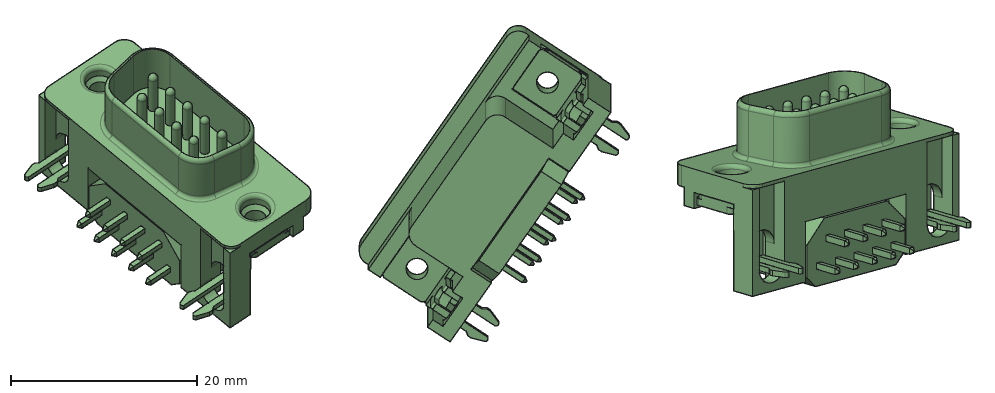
import cadquery as cq
import math


LENGTH = 30.8
DEPTH = 12.5
FRONT_Y = -DEPTH / 2
BACK_Y = DEPTH / 2
SHEET_THICKNESS = 0.4
SHEET_CORNER = 1.5
FLANGE_BOTTOM = -2.37
SCREW_X = 12.5

HOUSING_BOTTOM = -12.35
HOUSING_BACK_Y = 4.38
FRONT_WALL_BACK_Y = -3.33
BLOCK_BOTTOM = -4.45
BODY_WIDTH = 17.25
BODY_CORNER = 1.55
POCKET_INNER_X = 9.85
POCKET_BACK_Y = 2.8
POCKET_TOP = -2.65

SHELL_TOP = 6.1
SHELL_WALL = 0.45
SHELL_HALF_DEPTH = 4.68
SHELL_MID_HALF_WIDTH = 8.72
SHELL_SIDE_ANGLE = 10.0
SHELL_CORNER = 3.02
SHELL_RIM_RADIUS = 0.55
SHELL_FOOT_RADIUS = 0.45

SCREW_BORE_RADIUS = 1.63
SCREW_LIP_RADIUS = 0.5
SCREW_BORE_DEPTH = 1.32
SCREW_HOLE_RADIUS = 1.17

CHANNEL_WIDTH = 3.75
CHANNEL_DEPTH = 1.6
WINDOW_TOP = -5.85
CHANNEL_BOTTOM = -11.4

RECESS_HALF_WIDTH = 7.5
RECESS_TOP = -5.58
INSERT_HALF_WIDTH = 7.3
INSERT_TOP = -5.75
INSERT_TOP_HALF_WIDTH = 4.68
INSERT_SHOULDER_Z = -8.3
INSERT_LOWER_Z = -11.92
INSERT_BOTTOM = -13.2
INSERT_BOTTOM_HALF_WIDTH = 5.98
INSERT_BACK_Y = -3.6

PIN_PITCH = 2.77
LONG_ROW_COUNT = 5
SHORT_ROW_COUNT = 4
PIN_ROW_Y = 1.42
PIN_RADIUS = 0.52
PIN_TOP = 5.33
LONG_ROW_TAIL_Z = -10.9
SHORT_ROW_TAIL_Z = -8.07
TAIL_WIDTH = 0.6
TAIL_HEIGHT = 0.7
TAIL_TAPER_Y = -9.12
TAIL_TIP_Y = -9.52
TAIL_TIP_SIZE = 0.15

BRACKET_THICKNESS = 0.55
BRACKET_HALF_WIDTH = 2.8
BRACKET_CORNER = 1.05
NUT_HEIGHT = 0.77
NUT_CORNER = 0.55
WIDE_HALF_WIDTH = 2.4
WIDE_BOTTOM = -5.85
NECK_HALF_WIDTH = 1.17
LEG_SHOULDER_Z = -6.2
LEG_HALF_WIDTH = 1.5
LEG_BOTTOM = -9.83
LEG_BEND_RADIUS = 0.5
SLOT_HALF_WIDTH = 0.75
SLOT_TOP = -7.1
PRONG_THICKNESS = 0.62
PRONG_BARB_START_Y = -7.4
PRONG_BARB_TOP_Y = -7.83
PRONG_BARB_END_Y = -8.25
PRONG_BARB_HALF_WIDTH = 1.82
PRONG_TIP_START_Y = -9.65
PRONG_TIP_Y = -9.85
PRONG_TIP_HALF_WIDTH = 1.32


def box(x0, x1, y0, y1, z0, z1):
    """Axis-aligned box between two corners."""
    return cq.Workplane("XY").box(x1 - x0, y1 - y0, z1 - z0, centered=False).translate((x0, y0, z0))


def centred_box(half_width, y0, y1, z0, z1):
    """Box that is symmetric about X = 0."""
    return box(-half_width, half_width, y0, y1, z0, z1)


def extrude_along_y(outline, y0, y1):
    """Extrude a closed list of (x, z) points from y0 to y1."""
    sketch = cq.Workplane("XZ", origin=(0, y1, 0)).polyline(outline).close()
    return sketch.extrude(y1 - y0)


def disc_along_y(radius, z, y0, y1):
    """Cylinder along Y, centred on X = 0 at height z."""
    return cq.Workplane("XZ", origin=(0, y1, z)).circle(radius).extrude(y1 - y0)


def d_prism(inset, z0, z1):
    """Rounded trapezoid of the shell, moved inward by inset."""
    angle = math.radians(SHELL_SIDE_ANGLE)
    half_depth = SHELL_HALF_DEPTH - inset
    mid_half_width = SHELL_MID_HALF_WIDTH - inset / math.cos(angle)
    slope = half_depth * math.tan(angle)
    back = mid_half_width + slope
    front = mid_half_width - slope
    outline = [(-back, half_depth), (back, half_depth), (front, -half_depth), (-front, -half_depth)]
    prism = cq.Workplane("XY", origin=(0, 0, z0)).polyline(outline).close().extrude(z1 - z0)
    return prism.edges("|Z").fillet(SHELL_CORNER - inset)


def make_flange_and_shell():
    """Flange sheet with the D-shaped shell blended into it; the shell is open at the top."""
    sheet = centred_box(LENGTH / 2, FRONT_Y, BACK_Y, -SHEET_THICKNESS, 0)
    sheet = sheet.edges("|Z").fillet(SHEET_CORNER)
    shell = d_prism(0, -SHEET_THICKNESS, SHELL_TOP).faces(">Z").edges().fillet(SHELL_RIM_RADIUS)
    zone_x = SCREW_X
    zone_y = (SHELL_HALF_DEPTH + BACK_Y) / 2
    zone_z = SHEET_THICKNESS / 2
    foot_zone = cq.selectors.BoxSelector(
        (-zone_x, -zone_y, -zone_z), (zone_x, zone_y, zone_z), boundingbox=True
    )
    flange = sheet.union(shell).edges(foot_zone).fillet(SHELL_FOOT_RADIUS)
    return flange.cut(d_prism(SHELL_WALL, 0, SHELL_TOP))


def make_housing():
    """Plastic block: flange, side blocks with bracket pockets, centre body and front wall."""
    half = LENGTH / 2
    flange = centred_box(half, FRONT_Y, BACK_Y, FLANGE_BOTTOM, -SHEET_THICKNESS)
    flange = flange.edges("|Z and >Y").fillet(SHEET_CORNER)
    blocks = centred_box(half, FRONT_Y, HOUSING_BACK_Y, BLOCK_BOTTOM, FLANGE_BOTTOM)
    for x0, x1 in ((-half, -POCKET_INNER_X), (POCKET_INNER_X, half)):
        blocks = blocks.cut(box(x0, x1, FRONT_WALL_BACK_Y, POCKET_BACK_Y, BLOCK_BOTTOM, POCKET_TOP))
    body = centred_box(BODY_WIDTH / 2, FRONT_WALL_BACK_Y, HOUSING_BACK_Y, HOUSING_BOTTOM, BLOCK_BOTTOM)
    body = body.edges("|Z and >Y").fillet(BODY_CORNER)
    front_wall = centred_box(half, FRONT_Y, FRONT_WALL_BACK_Y, HOUSING_BOTTOM, FLANGE_BOTTOM)
    return flange.union(blocks).union(body).union(front_wall)


def make_channel():
    """Round-bottomed front channel and, behind it, an arched slot that runs out of the bottom."""
    radius = CHANNEL_WIDTH / 2
    channel_back_y = FRONT_Y + CHANNEL_DEPTH
    round_bottom_z = CHANNEL_BOTTOM + radius
    arch_z = WINDOW_TOP - radius
    channel = centred_box(radius, FRONT_Y, channel_back_y, round_bottom_z, -SHEET_THICKNESS)
    channel = channel.union(disc_along_y(radius, round_bottom_z, FRONT_Y, channel_back_y))
    window = centred_box(radius, channel_back_y, FRONT_WALL_BACK_Y, HOUSING_BOTTOM, arch_z)
    window = window.union(disc_along_y(radius, arch_z, channel_back_y, FRONT_WALL_BACK_Y))
    return channel.union(window)


def make_insert():
    """Eight-sided pin holder standing in the front recess."""
    right_side = [
        (INSERT_TOP_HALF_WIDTH, INSERT_TOP),
        (INSERT_HALF_WIDTH, INSERT_SHOULDER_Z),
        (INSERT_HALF_WIDTH, INSERT_LOWER_Z),
        (INSERT_BOTTOM_HALF_WIDTH, INSERT_BOTTOM),
    ]
    left_side = [(-x, z) for x, z in reversed(right_side)]
    return extrude_along_y(right_side + left_side, FRONT_Y, INSERT_BACK_Y)


def make_contact(x, row_y, tail_z):
    """Round-ended pin in the shell and its pointed square tail at the front."""
    pin = cq.Workplane("XY", origin=(x, row_y, -SHEET_THICKNESS)).circle(PIN_RADIUS)
    pin = pin.extrude(PIN_TOP - PIN_RADIUS + SHEET_THICKNESS)
    pin = pin.union(cq.Workplane("XY", origin=(x, row_y, PIN_TOP - PIN_RADIUS)).sphere(PIN_RADIUS))
    tail = (
        cq.Workplane("XZ", origin=(x, INSERT_BACK_Y, tail_z))
        .rect(TAIL_WIDTH, TAIL_HEIGHT)
        .extrude(INSERT_BACK_Y - TAIL_TAPER_Y)
    )
    point = (
        cq.Workplane("XZ", origin=(x, TAIL_TAPER_Y, tail_z))
        .rect(TAIL_WIDTH, TAIL_HEIGHT)
        .workplane(offset=TAIL_TAPER_Y - TAIL_TIP_Y)
        .rect(TAIL_TIP_SIZE, TAIL_TIP_SIZE)
        .loft(ruled=True)
    )
    return pin, tail.union(point)


def make_prong(side):
    """One barbed prong of a bracket centred on X = 0; side is -1 or 1."""
    start_y = FRONT_WALL_BACK_Y + BRACKET_THICKNESS / 2
    tip_mid = (SLOT_HALF_WIDTH + PRONG_TIP_HALF_WIDTH) / 2
    return (
        cq.Workplane("XY", origin=(0, 0, LEG_BOTTOM))
        .moveTo(side * SLOT_HALF_WIDTH, start_y)
        .lineTo(side * SLOT_HALF_WIDTH, PRONG_TIP_START_Y)
        .threePointArc((side * tip_mid, PRONG_TIP_Y), (side * PRONG_TIP_HALF_WIDTH, PRONG_TIP_START_Y))
        .lineTo(side * PRONG_BARB_HALF_WIDTH, PRONG_BARB_END_Y)
        .lineTo(side * PRONG_BARB_HALF_WIDTH, PRONG_BARB_TOP_Y)
        .lineTo(side * LEG_HALF_WIDTH, PRONG_BARB_START_Y)
        .lineTo(side * LEG_HALF_WIDTH, start_y)
        .close()
        .extrude(PRONG_THICKNESS)
    )


def make_bracket():
    """Board lock centred on X = 0: top plate, nut, slotted leg and two prongs."""
    leg_back_y = FRONT_WALL_BACK_Y + BRACKET_THICKNESS
    plate_bottom = POCKET_TOP - BRACKET_THICKNESS
    plate = centred_box(BRACKET_HALF_WIDTH, FRONT_WALL_BACK_Y, POCKET_BACK_Y, plate_bottom, POCKET_TOP)
    plate = plate.edges("|Z and >Y").fillet(BRACKET_CORNER)
    nut = centred_box(BRACKET_HALF_WIDTH, leg_back_y, POCKET_BACK_Y, plate_bottom - NUT_HEIGHT, plate_bottom)
    nut = nut.edges("|Z").fillet(NUT_CORNER)

    right_side = [
        (WIDE_HALF_WIDTH, plate_bottom),
        (WIDE_HALF_WIDTH, WIDE_BOTTOM),
        (NECK_HALF_WIDTH, WIDE_BOTTOM),
        (LEG_HALF_WIDTH, LEG_SHOULDER_Z),
        (LEG_HALF_WIDTH, LEG_BOTTOM),
    ]
    left_side = [(-x, z) for x, z in reversed(right_side)]
    leg = extrude_along_y(right_side + left_side, FRONT_WALL_BACK_Y, leg_back_y)
    leg = leg.faces("<Z").edges(">Y").fillet(LEG_BEND_RADIUS)
    slot_centre_z = SLOT_TOP - SLOT_HALF_WIDTH
    slot = centred_box(SLOT_HALF_WIDTH, FRONT_WALL_BACK_Y, leg_back_y, LEG_BOTTOM, slot_centre_z)
    arch = disc_along_y(SLOT_HALF_WIDTH, slot_centre_z, FRONT_WALL_BACK_Y, leg_back_y)
    leg = leg.cut(slot).cut(arch)

    return plate.union(nut).union(leg).union(make_prong(-1)).union(make_prong(1))


def make_screw_hole():
    """Turned cutter about Z: rounded lip, bore, cone and through hole."""
    lip_outer = SCREW_BORE_RADIUS + SCREW_LIP_RADIUS
    lip_mid = lip_outer - SCREW_LIP_RADIUS * math.sin(math.pi / 4)
    lip_mid_z = -SCREW_LIP_RADIUS * (1 - math.cos(math.pi / 4))
    cone_bottom = -SCREW_BORE_DEPTH - (SCREW_BORE_RADIUS - SCREW_HOLE_RADIUS)
    return (
        cq.Workplane("XZ")
        .moveTo(0, 0)
        .lineTo(lip_outer, 0)
        .threePointArc((lip_mid, lip_mid_z), (SCREW_BORE_RADIUS, -SCREW_LIP_RADIUS))
        .lineTo(SCREW_BORE_RADIUS, -SCREW_BORE_DEPTH)
        .lineTo(SCREW_HOLE_RADIUS, cone_bottom)
        .lineTo(SCREW_HOLE_RADIUS, BLOCK_BOTTOM)
        .lineTo(0, BLOCK_BOTTOM)
        .close()
        .revolve(360, (0, 0, 0), (0, 1, 0))
    )


housing = make_housing()
housing = housing.cut(centred_box(RECESS_HALF_WIDTH, FRONT_Y, INSERT_BACK_Y, HOUSING_BOTTOM, RECESS_TOP))
channel = make_channel()
for screw_x in (-SCREW_X, SCREW_X):
    housing = housing.cut(channel.translate((screw_x, 0, 0)))

result = housing.union(make_flange_and_shell()).union(make_insert())

bracket = make_bracket()
screw_hole = make_screw_hole()
for screw_x in (-SCREW_X, SCREW_X):
    result = result.union(bracket.translate((screw_x, 0, 0)))
    result = result.cut(screw_hole.translate((screw_x, 0, 0)))

contact_rows = (
    (LONG_ROW_COUNT, PIN_ROW_Y, LONG_ROW_TAIL_Z),
    (SHORT_ROW_COUNT, -PIN_ROW_Y, SHORT_ROW_TAIL_Z),
)
for count, row_y, tail_z in contact_rows:
    for index in range(count):
        contact_x = (index - (count - 1) / 2) * PIN_PITCH
        pin, tail = make_contact(contact_x, row_y, tail_z)
        result = result.union(pin).union(tail)